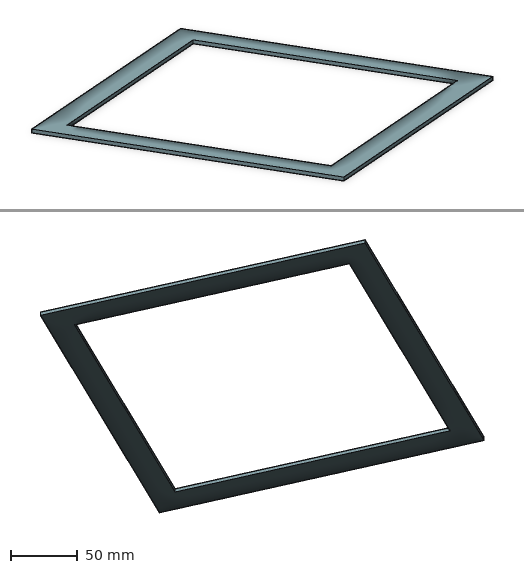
import cadquery as cq

outer_side = 260.0
border_width = 20.0
thickness = 3.0

opening_side = outer_side - 2 * border_width

result = (
    cq.Workplane("XY")
    .rect(outer_side, outer_side)
    .rect(opening_side, opening_side)
    .extrude(thickness)
)